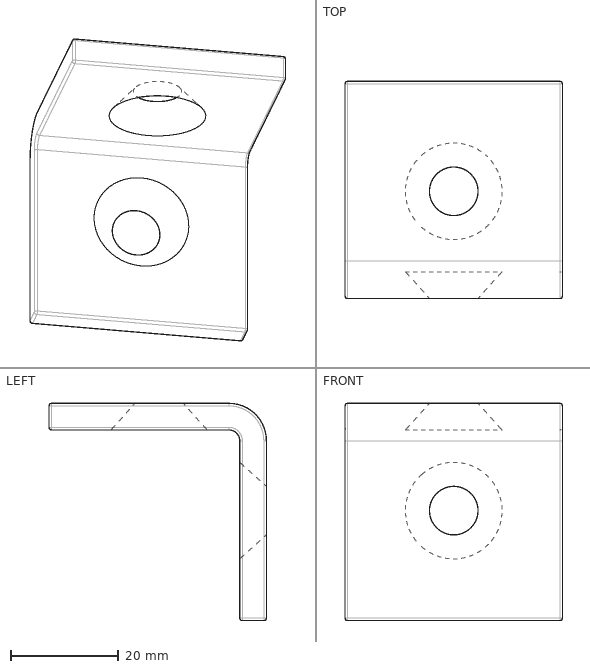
import cadquery as cq

width = 40.5
leg_length = 40.5
thickness = 5.0
inner_bend_radius = 2.0
edge_radius = 0.5
hole_outer_diameter = 9.0
hole_inner_diameter = 18.0
hole_offset = 20.0

outer_bend_radius = inner_bend_radius + thickness


def bent_plate():
    """L-shaped plate: one leg along +Y at the top, one leg along -Z at the front."""
    profile = (
        cq.Workplane("YZ")
        .moveTo(0, -leg_length)
        .lineTo(0, -outer_bend_radius)
        .radiusArc((outer_bend_radius, 0), outer_bend_radius)
        .lineTo(leg_length, 0)
        .lineTo(leg_length, -thickness)
        .lineTo(outer_bend_radius, -thickness)
        .radiusArc((thickness, -outer_bend_radius), -inner_bend_radius)
        .lineTo(thickness, -leg_length)
        .close()
    )
    return profile.extrude(width / 2, both=True)


def round_rims(plate):
    """Round the rims of both side faces and of the free end of each leg."""
    rim_edges = plate.faces("<X or >X or >Y or <Z").edges()
    return rim_edges.fillet(edge_radius)


def conical_hole(centre, inward):
    """Cone that widens from the hole centre on a leg's outer face to its inner face."""
    cone = cq.Solid.makeCone(
        hole_outer_diameter / 2,
        hole_inner_diameter / 2,
        thickness,
        pnt=cq.Vector(*centre),
        dir=cq.Vector(*inward),
    )
    return cq.Workplane(cone)


top_hole = conical_hole(centre=(0, hole_offset, 0), inward=(0, 0, -1))
front_hole = conical_hole(centre=(0, 0, -hole_offset), inward=(0, 1, 0))

result = round_rims(bent_plate()).cut(top_hole).cut(front_hole)